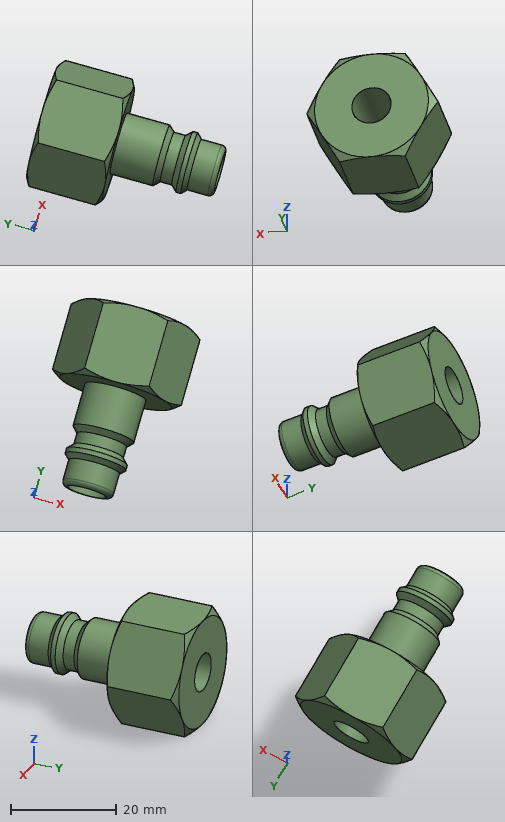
import cadquery as cq
import math

total_length = 35.0
hex_across_flats = 22.0
hex_length = 15.0
hex_chamfer_angle = 30.0

shank_diameter = 12.0
groove_diameter = 9.8
tip_diameter = 10.0
bore_diameter = 7.55
tip_fillet = 0.98

collar_cone_start = 5.05
collar_start = 6.02
collar_end = 6.95
groove_start = 8.12
groove_end = 10.4
shank_start = 11.55

hex_start = total_length - hex_length
hex_flat_radius = hex_across_flats / 2
hex_corner_radius = hex_flat_radius / math.cos(math.radians(30))
chamfer_length = (hex_corner_radius - hex_flat_radius) * math.tan(math.radians(hex_chamfer_angle))


def revolve_about_y(points):
    """Turn a closed outline of (radius, y) points around the Y axis."""
    return cq.Workplane("XY").polyline(points).close().revolve(360, (0, 0, 0), (0, 1, 0))


def make_hexagon():
    """Hexagonal body with corners on the X axis and both ends chamfered by a cone."""
    prism = (
        cq.Workplane("XZ", origin=(0, total_length, 0))
        .polygon(6, 2 * hex_corner_radius)
        .extrude(hex_length)
    )
    chamfer_envelope = revolve_about_y([
        (0, hex_start),
        (hex_flat_radius, hex_start),
        (hex_corner_radius, hex_start + chamfer_length),
        (hex_corner_radius, total_length - chamfer_length),
        (hex_flat_radius, total_length),
        (0, total_length),
    ])
    return prism.intersect(chamfer_envelope)


def make_plug():
    """Stepped plug with a rounded tip, a locking collar and a groove."""
    tip_radius = tip_diameter / 2
    groove_radius = groove_diameter / 2
    shank_radius = shank_diameter / 2
    plug = revolve_about_y([
        (0, 0),
        (tip_radius, 0),
        (tip_radius, collar_cone_start),
        (shank_radius, collar_start),
        (shank_radius, collar_end),
        (groove_radius, groove_start),
        (groove_radius, groove_end),
        (shank_radius, shank_start),
        (shank_radius, hex_start),
        (0, hex_start),
    ])
    return plug.faces("<Y").edges().fillet(tip_fillet)


def make_bore():
    """Cylinder that opens the passage through the whole part."""
    return (
        cq.Workplane("XZ", origin=(0, total_length, 0))
        .circle(bore_diameter / 2)
        .extrude(total_length)
    )


result = make_hexagon().union(make_plug()).cut(make_bore())